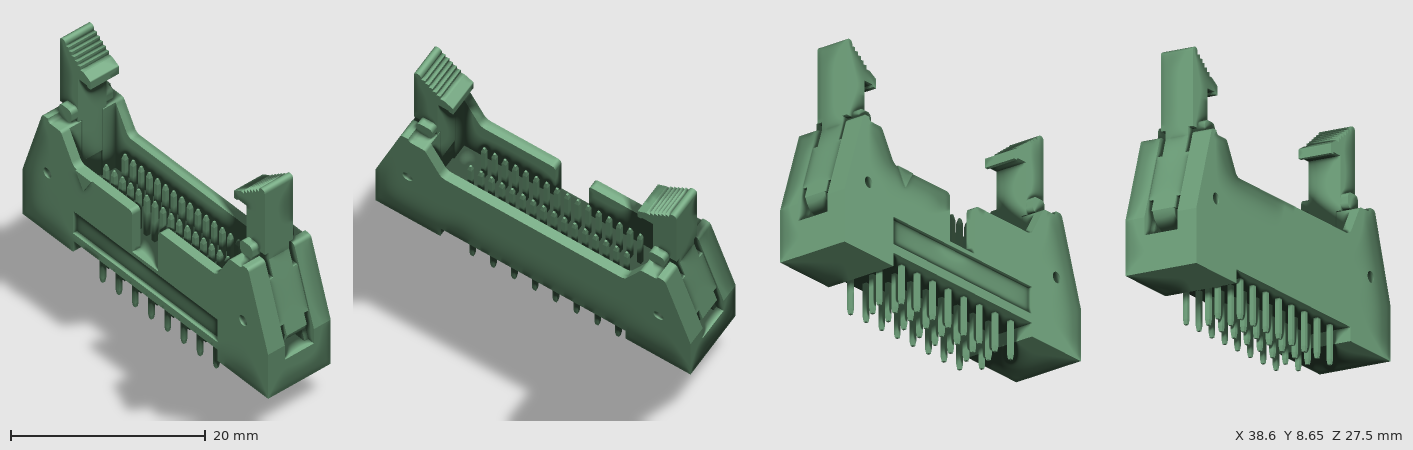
import cadquery as cq
import math

half_length = 19.3
housing_depth = 8.5
half_depth = housing_depth / 2
end_height = 15.43
rim_height = 11.45
straight_height = 5.95
lean = 0.33
shoulder_radius = 0.5

seat_height = 14.95
seat_start = -15.27
seat_end = -13.23
ramp_end = -11.2
ramp_radius = 1.0

base_half_length = 11.35
base_bottom = 1.5
panel_bottom = 2.5
panel_top = 5.55
panel_depth = 0.55

cavity_half_length = 13.2
cavity_half_depth = 3.12
cavity_floor = 6.0
key_half_width = 2.05
key_radius = 0.5

triangle_center = -9.53
triangle_half_width = 1.25
triangle_height = 2.05
triangle_thickness = 0.15

channel_half_width = 1.95
channel_floor = 4.0
stem_channel_half_width = 1.45
ledge_offset = 1.55
pivot_x = -15.35
pivot_z = 8.02
housing_pivot_diameter = 1.25
latch_pivot_diameter = 1.05

latch_half_width = 1.93
stem_half_width = 1.35
foot_half_width = 1.25
latch_outer = -16.1
latch_inner = -13.2
latch_top = 24.7
latch_bend = 15.12
tip_radius = 0.45
heel_height = 6.65
toe_x = -16.5
toe_radius = 2.55
toe_angles = (25, 45, 65)
plate_bottom = 7.95
plate_top = 13.1
pocket_top = 16.05
pocket_radius = 0.5
ledge_clearance = 0.05
relief_top = 9.4
relief_depth = 0.2
tooth_count = 5
tooth_pitch = 0.45
tooth_drop = 0.35
tooth_first_floor = 24.0
tooth_rise = 0.1
hook_slope_start = -12.35
hook_tip = -11.25
hook_shoulder = 21.68
hook_radius = 0.15
hook_bottom = 20.65
hook_underside = 20.85
hook_lip_width = 0.45
hook_lip_chamfer = 0.1

nub_left = -15.15
nub_right = -13.23
nub_bottom = 15.15
nub_top = 16.9
nub_radius = 0.55
nub_half_span = 2.8

column_count = 16
pin_pitch = 1.27
pin_width = 0.5
upper_row_y = 1.27
upper_top = 11.22
upper_taper = 1.5
upper_tip_width = 0.25
lower_bottom = -2.8
lower_taper = 1.5
lower_tip_width = 0.35
lower_row_gap = 1.9


def block(x0, x1, y0, y1, z0, z1):
    return cq.Workplane("XY").box(x1 - x0, y1 - y0, z1 - z0, centered=False).translate((x0, y0, z0))


def extrude_y(outline, half_width):
    """Extrude a closed XZ outline to both sides of the XZ plane."""
    return outline.close().extrude(half_width, both=True)


def fillet_at(solid, x, z, radius):
    """Round the edge along Y that passes through (x, z)."""
    size = 0.02
    corner = cq.selectors.BoxSelector((x - size, -half_depth, z - size), (x + size, half_depth, z + size))
    return solid.edges("|Y").edges(corner).fillet(radius)


def end_face_x(z):
    """X of the leaning left end face of the housing at height z."""
    return -half_length + lean * (z - straight_height)


def ledge_x(z):
    """X of the ledge face inside the left latch channel at height z."""
    return end_face_x(z) + ledge_offset


def half_housing():
    seat_radius = end_height - seat_height
    arc_leg = seat_radius * math.sqrt(0.5)
    outline = (
        cq.Workplane("XZ")
        .moveTo(-half_length, 0)
        .lineTo(-half_length, straight_height)
        .lineTo(end_face_x(end_height), end_height)
        .lineTo(seat_start, end_height)
        .threePointArc(
            (seat_start + seat_radius - arc_leg, end_height - arc_leg),
            (seat_start + seat_radius, seat_height),
        )
        .lineTo(seat_end, seat_height)
        .lineTo(ramp_end, rim_height)
        .lineTo(0, rim_height)
        .lineTo(0, base_bottom)
        .lineTo(-base_half_length, base_bottom)
        .lineTo(-base_half_length, 0)
    )
    half = extrude_y(outline, half_depth)
    half = fillet_at(half, end_face_x(end_height), end_height, shoulder_radius)
    half = fillet_at(half, seat_end, seat_height, shoulder_radius)
    half = fillet_at(half, ramp_end, rim_height, ramp_radius)
    half = half.cut(
        block(-cavity_half_length, 0, -cavity_half_depth, cavity_half_depth, cavity_floor, end_height)
    )

    wide_channel = (
        cq.Workplane("XZ")
        .moveTo(-half_length, channel_floor)
        .lineTo(ledge_x(channel_floor), channel_floor)
        .lineTo(ledge_x(end_height), end_height)
        .lineTo(-half_length, end_height)
    )
    half = half.cut(extrude_y(wide_channel, channel_half_width))
    half = half.cut(
        block(
            -half_length, -cavity_half_length,
            -stem_channel_half_width, stem_channel_half_width,
            channel_floor, end_height,
        )
    )
    pivot = cq.Workplane("XZ").center(pivot_x, pivot_z).circle(housing_pivot_diameter / 2)
    return half.cut(pivot.extrude(half_depth, both=True))


def front_wall_details(housing):
    panel = block(
        -base_half_length, base_half_length,
        -half_depth, -half_depth + panel_depth,
        panel_bottom, panel_top,
    )
    housing = housing.cut(panel)
    key_slot = block(
        -key_half_width, key_half_width,
        -half_depth, -cavity_half_depth,
        cavity_floor, rim_height,
    )
    housing = housing.cut(key_slot)
    for x in (-key_half_width, key_half_width):
        housing = fillet_at(housing, x, rim_height, key_radius)
    triangle = (
        cq.Workplane("XZ", origin=(0, -half_depth, 0))
        .moveTo(triangle_center - triangle_half_width, rim_height)
        .lineTo(triangle_center + triangle_half_width, rim_height)
        .lineTo(triangle_center, rim_height - triangle_height)
        .close()
        .extrude(triangle_thickness)
    )
    return housing.union(triangle)


def latch_blank():
    tip_edge = latch_outer + 2 * tip_radius
    tip_base = latch_top - tip_radius
    heel_x = latch_outer - lean * (latch_bend - heel_height)
    first_angle = math.radians(toe_angles[0])
    hollow_x = toe_x - toe_radius * math.cos(first_angle)
    hollow_z = channel_floor - toe_radius * math.sin(first_angle)
    toe_start, hollow_middle, hollow_end = [
        (
            hollow_x + toe_radius * math.cos(math.radians(angle)),
            hollow_z + toe_radius * math.sin(math.radians(angle)),
        )
        for angle in toe_angles
    ]
    outline = (
        cq.Workplane("XZ")
        .moveTo(latch_inner, channel_floor)
        .lineTo(*toe_start)
        .threePointArc(hollow_middle, hollow_end)
        .tangentArcPoint((heel_x, heel_height), relative=False)
        .lineTo(latch_outer, latch_bend)
        .lineTo(latch_outer, tip_base)
        .threePointArc((latch_outer + tip_radius, latch_top), (tip_edge, tip_base))
    )
    for i in range(tooth_count):
        floor = tooth_first_floor - i * tooth_drop
        tooth_edge = tip_edge + (i + 1) * tooth_pitch
        outline = (
            outline.lineTo(tooth_edge - tooth_pitch, floor)
            .lineTo(tooth_edge, floor + tooth_rise)
        )
    last_floor = tooth_first_floor - tooth_count * tooth_drop
    outline = (
        outline.lineTo(tip_edge + tooth_count * tooth_pitch, last_floor)
        .lineTo(hook_slope_start, last_floor)
        .lineTo(hook_tip, hook_shoulder)
        .lineTo(hook_tip, hook_bottom)
        .lineTo(hook_tip - hook_lip_width, hook_bottom)
        .lineTo(hook_tip - hook_lip_width - hook_lip_chamfer, hook_underside)
        .lineTo(latch_inner, hook_underside)
    )
    blank = extrude_y(outline, latch_half_width)
    return fillet_at(blank, hook_tip, hook_shoulder, hook_radius)


def latch_side_clearance():
    """Everything removed beside the stem and foot: ledge clearance, top pocket and lower end."""
    ledge_gap = (
        cq.Workplane("XZ")
        .moveTo(ledge_x(0) - ledge_clearance, 0)
        .lineTo(ledge_x(seat_height) - ledge_clearance, seat_height)
        .lineTo(0, seat_height)
        .lineTo(0, 0)
    )
    cutter = extrude_y(ledge_gap, latch_half_width)
    pocket = (
        cq.Workplane("XZ")
        .moveTo(-half_length, plate_top)
        .lineTo(ledge_x(plate_top), plate_top)
        .lineTo(ledge_x(pocket_top), pocket_top)
        .lineTo(-half_length, pocket_top)
    )
    pocket = extrude_y(pocket, latch_half_width)
    for z in (plate_top, pocket_top):
        pocket = fillet_at(pocket, ledge_x(z), z, pocket_radius)
    lower_end = block(-half_length, 0, -latch_half_width, latch_half_width, 0, plate_bottom)
    cutter = cutter.union(pocket).union(lower_end)
    stem = block(-half_length, 0, -stem_half_width, stem_half_width, heel_height, latch_top)
    foot = block(-half_length, 0, -foot_half_width, foot_half_width, 0, heel_height)
    return cutter.cut(stem).cut(foot)


def latch():
    nub = block(nub_left, nub_right, -nub_half_span, nub_half_span, nub_bottom, nub_top)
    nub = nub.edges("|Y").fillet(nub_radius)
    pivot = cq.Workplane("XZ").center(pivot_x, pivot_z).circle(latch_pivot_diameter / 2)
    pivot = pivot.extrude(latch_half_width, both=True)
    relief = block(
        latch_inner - relief_depth, latch_inner,
        -stem_half_width, stem_half_width,
        cavity_floor, relief_top,
    )
    return latch_blank().cut(latch_side_clearance()).union(nub).cut(pivot).cut(relief)


def pin(x, y, root, tip, taper, tip_width):
    """Square pin from root to tip, ending in a short pyramid taper."""
    direction = math.copysign(0.4, tip - root)
    shoulder = tip - direction * taper
    shank = cq.Workplane("XY", origin=(x, y, root)).rect(pin_width, pin_width).extrude(shoulder - root)
    point = (
        cq.Workplane("XY", origin=(x, y, shoulder))
        .rect(pin_width, pin_width)
        .workplane(offset=tip - shoulder)
        .rect(tip_width, tip_width)
        .loft()
    )
    return shank.union(point)


def add_pins(housing):
    for column in range(column_count):
        x = (column - (column_count - 1) / 2) * pin_pitch
        for y in (-upper_row_y, upper_row_y):
            housing = housing.union(
                pin(x, y, cavity_floor, upper_top, upper_taper, upper_tip_width)
            )
        stagger = -0.5 if column % 2 == 0 else -1.5
        for row in (stagger, stagger + 2):
            housing = housing.union(
                pin(x, row * lower_row_gap, base_bottom, lower_bottom, lower_taper, lower_tip_width)
            )
    return housing


left_half = half_housing().union(latch())
both_halves = left_half.union(left_half.mirror("YZ"))
result = add_pins(front_wall_details(both_halves))